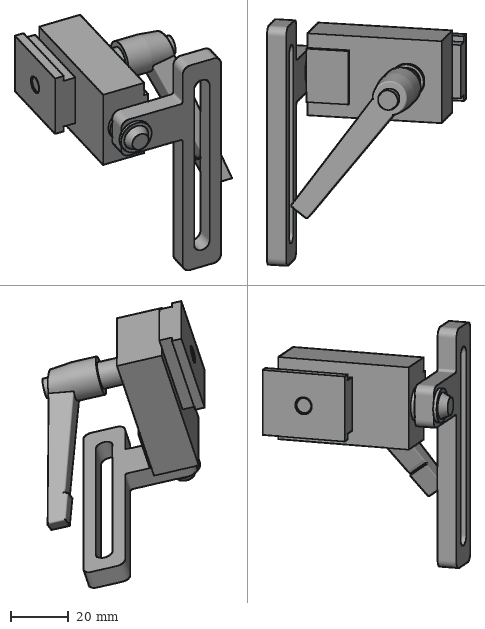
import cadquery as cq
import math


washer_radius = 6.0
washer_thickness = 1.3
stud_radius = 2.65
pivot_shank_radius = 3.0

nut_length = 30.1
nut_head_width = 23.2
nut_neck_width = 19.1
nut_head_thickness = 3.4
nut_depth = 7.95
nut_chamfer = 0.385

block_left = -12.05
block_right = 35.8
block_height = 29.3
block_depth = 16.1
pad_length = 15.0
pad_width = nut_neck_width
pad_thickness = 1.5
pivot_hole_depth = 10.3
pivot_y = block_depth / 2

swing_thickness = 6.9
swing_left = block_right + washer_thickness
swing_right = swing_left + swing_thickness
swing_length = 85.5
swing_top = 22.6
swing_bottom = swing_top - swing_length
swing_front = 26.85
swing_width = 15.05
swing_corner_radius = 3.0
tab_front = 2.8
tab_height = 15.0
tab_root_radius = 1.0
slot_width = 6.0
slot_top = 15.0
slot_bottom = -55.9

cone_start = swing_right + washer_thickness
cone_length = 3.1
cone_base_radius = 4.7
cone_tip_radius = 3.2

lever_swing_angle = math.degrees(math.atan2(4, 3))
sleeve_radius = 4.8
sleeve_start = block_depth + washer_thickness
hub_start = 25.2
hub_taper_start = 34.3
hub_radius = 6.8
hub_taper = 0.1
button_radius = 3.5
button_top = 45.3
handle_reach = 50.3
handle_root_width = 9.3
handle_tip_width = 7.3
handle_tip_top = 52.15
handle_top_slope = 0.18
handle_root_bottom = 33.4
handle_bottom_slope = 0.26
notch_start = 38.9
notch_end = 40.1
notch_rise = 0.25
lip_start = 40.6
lip_drop = 1.0
handle_edge_radius = 0.5


def y_cylinder(radius, start, end):
    """Cylinder on the clamping axis between two Y positions."""
    return cq.Workplane("XZ", origin=(0, start, 0)).circle(radius).extrude(start - end)


def x_cylinder(radius, start, end):
    """Cylinder on the pivot axis between two X positions."""
    return cq.Workplane("YZ", origin=(start, pivot_y, 0)).circle(radius).extrude(end - start)


def make_nut():
    """T-slot nut: a wide front head and a narrower neck, with a countersunk stud hole."""
    head = cq.Workplane("XY").box(nut_length, nut_head_thickness, nut_head_width, centered=(True, False, True))
    neck = cq.Workplane("XY").box(nut_length, nut_depth, nut_neck_width, centered=(True, False, True))
    body = head.union(neck).translate((0, -nut_depth, 0))
    body = body.cut(y_cylinder(stud_radius, -nut_depth, 0))
    return body.faces("<Y").edges("%CIRCLE").chamfer(nut_chamfer)


def make_block():
    """Clamp block with a thin guide pad at the rear, a stud hole and a blind pivot hole."""
    body = cq.Workplane("XY").box(
        block_right - block_left, block_depth, block_height, centered=(False, False, True)
    ).translate((block_left, 0, 0))
    pad = cq.Workplane("XY").box(
        pad_length, pad_thickness, pad_width, centered=(False, False, True)
    ).translate((block_right - pad_length, block_depth, 0))
    body = body.union(pad)
    body = body.cut(y_cylinder(stud_radius, 0, block_depth))
    return body.cut(x_cylinder(pivot_shank_radius, block_right - pivot_hole_depth, block_right))


def make_swing_arm():
    """Upright slotted plate with a side tab that turns on the pivot screw."""
    plane = cq.Workplane("YZ", origin=(swing_left, 0, 0))
    slot_y = swing_front + swing_width / 2
    plate = (
        plane.center(slot_y, (swing_top + swing_bottom) / 2)
        .rect(swing_width, swing_length)
        .extrude(swing_thickness)
    )
    tab = (
        plane.center((tab_front + slot_y) / 2, 0)
        .rect(slot_y - tab_front, tab_height)
        .extrude(swing_thickness)
    )
    plate = plate.edges("|X").fillet(swing_corner_radius)
    tab = tab.edges("|X and <Y").fillet(swing_corner_radius)
    body = plate.union(tab)
    margin = 0.1
    root_edges = cq.selectors.BoxSelector(
        (swing_left - margin, swing_front - margin, -tab_height),
        (swing_right + margin, swing_front + margin, tab_height),
    )
    body = body.edges("|X").edges(root_edges).fillet(tab_root_radius)
    slot = (
        plane.center(slot_y, (slot_top + slot_bottom) / 2)
        .slot2D(slot_top - slot_bottom, slot_width, 90)
        .extrude(swing_thickness)
    )
    return body.cut(slot).cut(x_cylinder(pivot_shank_radius, swing_left, swing_right))


def make_pivot_screw():
    """Shank through arm and washers into the block, closed by a conical head."""
    shank = x_cylinder(pivot_shank_radius, block_right - pivot_hole_depth, cone_start)
    head = cq.Solid.makeCone(
        cone_base_radius,
        cone_tip_radius,
        cone_length,
        pnt=cq.Vector(cone_start, pivot_y, 0),
        dir=cq.Vector(1, 0, 0),
    )
    return shank.union(cq.Workplane(head))


def handle_top(reach):
    """Height of the sloping lever top at a distance from the clamping axis."""
    return handle_tip_top - handle_top_slope * (handle_reach - reach)


def handle_bottom(reach):
    """Height of the sloping lever underside at a distance from the clamping axis."""
    return handle_root_bottom + handle_bottom_slope * reach


def make_handle():
    """Tapered grip with a finger notch and lip on its underside."""
    side = (
        cq.Workplane("XY")
        .polyline([
            (0, handle_bottom(0)),
            (notch_start, handle_bottom(notch_start)),
            (notch_end, handle_bottom(notch_end) + notch_rise),
            (lip_start, handle_bottom(lip_start) - lip_drop),
            (handle_reach, handle_bottom(handle_reach) - lip_drop),
            (handle_reach, handle_top(handle_reach)),
            (0, handle_top(0)),
        ])
        .close()
        .extrude(handle_root_width, both=True)
    )
    plan = (
        cq.Workplane("XZ")
        .polyline([
            (0, -handle_root_width / 2),
            (handle_reach, -handle_tip_width / 2),
            (handle_reach, handle_tip_width / 2),
            (0, handle_root_width / 2),
        ])
        .close()
        .extrude(-2 * handle_tip_top)
    )
    grip = side.intersect(plan)
    flank_edges = grip.faces(">Z or <Z or >X").edges("not |Z").edges("not <X")
    return flank_edges.fillet(handle_edge_radius)


def make_hub():
    """Round hub, tapered above and cut off by the sloping top plane of the lever."""
    top_radius = hub_radius - hub_taper * (button_top - hub_taper_start)
    hub = (
        cq.Workplane("XY")
        .polyline([
            (0, hub_start),
            (hub_radius, hub_start),
            (hub_radius, hub_taper_start),
            (top_radius, button_top),
            (0, button_top),
        ])
        .close()
        .revolve(360, (0, 0, 0), (0, 1, 0))
    )
    half = 2 * hub_radius
    above = (
        cq.Workplane("XY")
        .polyline([
            (-half, handle_top(-half)),
            (half, handle_top(half)),
            (half, 2 * button_top),
            (-half, 2 * button_top),
        ])
        .close()
        .extrude(half, both=True)
    )
    return hub.cut(above).faces(">Y").edges().fillet(handle_edge_radius)


def make_lever():
    """Clamping lever in one piece: stud, sleeve, hub, grip and release button."""
    body = make_hub().union(make_handle())
    body = body.union(y_cylinder(button_radius, hub_start, button_top))
    body = body.union(y_cylinder(sleeve_radius, sleeve_start, hub_start))
    body = body.union(y_cylinder(stud_radius, nut_chamfer - nut_depth, sleeve_start))
    return body.rotate((0, 0, 0), (0, 1, 0), lever_swing_angle)


def make_washers():
    """One washer under the lever and one on each side of the swing arm."""
    lever_washer = y_cylinder(washer_radius, block_depth, sleeve_start)
    washers = [lever_washer.cut(y_cylinder(stud_radius, block_depth, sleeve_start))]
    for start in (block_right, swing_right):
        end = start + washer_thickness
        disc = x_cylinder(washer_radius, start, end)
        washers.append(disc.cut(x_cylinder(pivot_shank_radius, start, end)))
    return washers


nut = make_nut()
block = make_block()
swing_arm = make_swing_arm()
pivot_screw = make_pivot_screw()
lever = make_lever()
washers = make_washers()

result = cq.Compound.makeCompound([
    nut.val(),
    block.val(),
    swing_arm.val(),
    pivot_screw.val(),
    lever.val(),
    *[washer.val() for washer in washers],
])